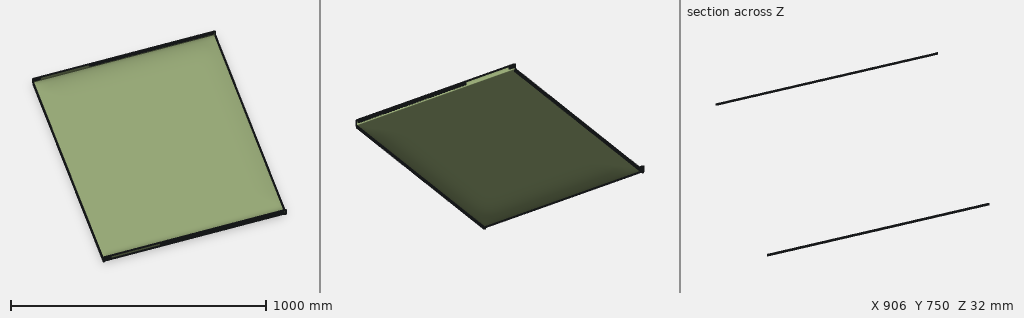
import cadquery as cq

width = 906.0
depth = 750.0
height = 32.0

sheet = 1.2
bend_radius = 2.5

flange_drop = 6.6
flange_end_gap = 3.2
lip_length = 4.0

wall_corner_radius = 5.0
hole_diameter = 6.5
hole_pitch = 12.5
hole_count = 41
wall_opening_z = 22.0
last_hole_inset = 13.0
slot_length = 29.0

side_x = width / 2
end_y = depth / 2
inner_radius = bend_radius - sheet


def make_channel():
    """Floor with a bent-up wall on each side, running along Y."""
    outer = (
        cq.Workplane("XZ", origin=(0, end_y, 0))
        .center(0, flange_drop + (height - flange_drop) / 2)
        .rect(width, height - flange_drop)
        .extrude(depth)
        .edges("|Y and <Z")
        .fillet(bend_radius)
    )
    inner = (
        cq.Workplane("XZ", origin=(0, end_y, 0))
        .center(0, flange_drop + sheet + height / 2)
        .rect(width - 2 * sheet, height)
        .extrude(depth)
        .edges("|Y and <Z")
        .fillet(inner_radius)
    )
    return outer.cut(inner).edges("|X and >Z").fillet(wall_corner_radius)


def make_flange(side):
    """Flange folded down from one end of the floor, with a lip turned inward under it."""
    length = width - 2 * flange_end_gap
    web = (
        cq.Workplane("XY")
        .box(length, sheet, flange_drop + sheet, centered=(True, True, False))
        .translate((0, side * (end_y - sheet / 2), 0))
    )
    lip = (
        cq.Workplane("XY")
        .box(length, lip_length, sheet, centered=(True, True, False))
        .translate((0, side * (end_y - lip_length / 2), 0))
    )
    return web.union(lip)


def make_wall_cuts():
    """Hole row and open-ended front slot with a round inner end, cut through both walls."""
    last_hole_y = end_y - last_hole_inset
    points = [(last_hole_y - i * hole_pitch, wall_opening_z) for i in range(hole_count)]
    cut_plane = cq.Workplane("YZ", origin=(-side_x, 0, 0))
    holes = cut_plane.pushPoints(points).circle(hole_diameter / 2).extrude(width)
    slot = (
        cut_plane.center(-end_y, wall_opening_z)
        .slot2D(2 * slot_length, hole_diameter)
        .extrude(width)
    )
    return holes.union(slot)


result = make_channel()
for side in (-1, 1):
    result = result.union(make_flange(side))
result = result.cut(make_wall_cuts())